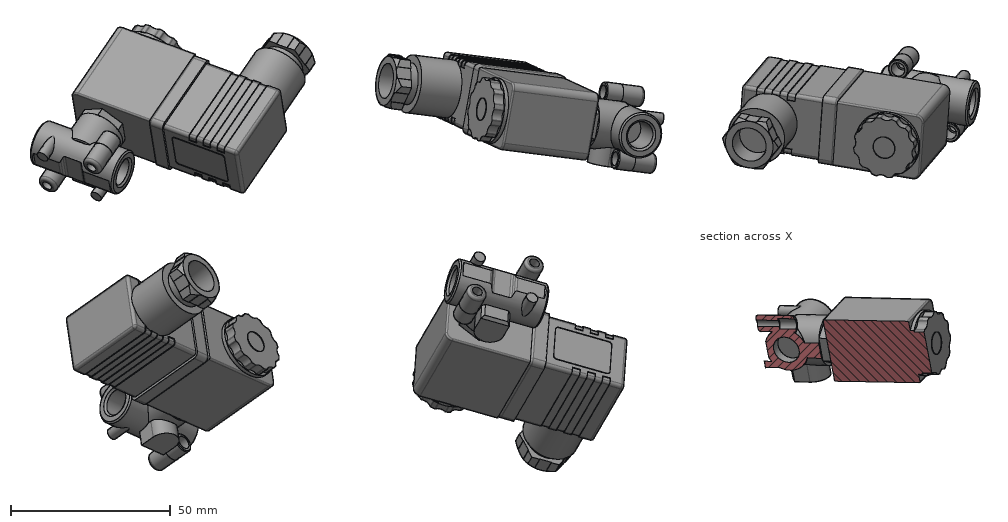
import cadquery as cq
import math


ROLL = 10.7
PITCH = -0.75
YAW = -1.09

PIPE_LENGTH = 29.95
PIPE_DIA = 14.5
PIPE_CHAMFER = 0.5
PORT_DIA = 8.6
PORT_DEPTH = 10.55
PORT_CHAMFER = 0.7
FLAT_LENGTH = 27.15
FLAT_END_SLOPE = 0.4
FLAT_Y = -6.7
SADDLE_Y = -5.3
SADDLE_FLOOR = 6.2
SADDLE_MOUTH = 8.15
SADDLE_FILLET = 0.8

STEM_DIA = 15.85
STEM_START_Y = 0.2
STEM_CHAMFER = 0.4
STEM_END_Y = 11.7

LUG_WIDTH = 9.5
LUG_FRONT_Y = -1.5
LUG_CENTRE_Y = 4.7
LUG_BOTTOM_Z = -12.45
LUG_BEVEL = 0.9

SLEEVE_X = 9.05
SLEEVE_Z = 9.05
SLEEVE_DIA = 6.5
SLEEVE_TIP_DIA = 6.4
SLEEVE_STEP_Y = -0.9
SLEEVE_START_Y = 4.75
SLEEVE_END_Y = -8.5
SLEEVE_FILLET = 1.0
SLEEVE_CHAMFER = 0.3
SLEEVE_BORE_DIA = 3.25
SLEEVE_COUNTERBORE_DIA = 4.4
PIN_Z = 5.3
PIN_DIA = 3.8
PIN_END_Y = -8.5

COIL_LEFT_X = -11.0
COIL_RIGHT_X = 17.35
COIL_BOTTOM_Y = 14.55
COIL_TOP_Y = 44.3
COIL_THICKNESS = 21.6
COIL_CORNER = 2.4
COIL_EDGE = 0.5

KNOB_DIA = 19.9
KNOB_FLANGE_DIA = 20.7
KNOB_FLANGE_HEIGHT = 1.3
KNOB_TOP_Y = 48.95
SCALLOPS = 12
SCALLOP_RADIUS = 2.7
SCALLOP_DEPTH = 0.75
RIB_FILLET = 0.3
DIMPLE_DIA = 7.1
DIMPLE_DEPTH = 0.2

COLLAR_WIDTH = 5.0
COLLAR_BOTTOM_Y = 13.8
COLLAR_TOP_Y = 43.9
COLLAR_THICKNESS = 22.6
COLLAR_CORNER = 1.8
COLLAR_EDGE = 0.7
BOX_STEP = 0.7
BOX_FACE_STEP = 1.0
BOX_RIGHT_X = 48.9
BOX_CORNER = 1.1
BOX_EDGE = 1.0

GROOVE_START_X = 31.4
GROOVE_WIDTH = 2.6
GROOVE_PITCH = 5.05
GROOVES = 3
GROOVE_DEPTH = 0.3
GROOVE_END_Z = 8.1
LABEL_LEFT_X = 24.9
LABEL_LENGTH = 18.85
LABEL_HEIGHT = 13.1
LABEL_CORNER = 1.1
LABEL_DEPTH = 0.2

GLAND_X = 39.3
GLAND_DIA = 18.3
GLAND_TOP_Y = 57.1
NECK_DIA = 13.2
NUT_BOTTOM_Y = 60.2
NUT_TOP_Y = 65.2
NUT_FLATS = 15.9
NUT_CHAMFER_DIA = 15.5
NUT_CHAMFER_HEIGHT = 1.5
NUT_GROOVE_WIDTH = 3.85
NUT_GROOVE_DEPTH = 0.15
CABLE_HOLE_DIA = 11.0


def rod(diameter, start_y, end_y, x=0.0, z=0.0):
    """Cylinder along Y between two heights."""
    start = cq.Vector(x, start_y, z)
    along = cq.Vector(0, end_y - start_y, 0)
    return cq.Workplane(cq.Solid.makeCylinder(diameter / 2, abs(end_y - start_y), start, along))


def block(x_range, y_range, thickness):
    """Box centred on Z = 0."""
    length = x_range[1] - x_range[0]
    height = y_range[1] - y_range[0]
    return cq.Workplane().box(length, height, thickness).translate(
        (sum(x_range) / 2, sum(y_range) / 2, 0)
    )


def hexagon(flats, start_y, end_y, x=0.0, first_corner=0.0):
    """Hexagonal prism along Y; first_corner is the angle of one corner from +X, in degrees."""
    corner_dia = flats / math.cos(math.pi / 6)
    prism = cq.Workplane("XZ").polygon(6, corner_dia).extrude(start_y - end_y)
    return prism.rotate((0, 0, 0), (0, 1, 0), first_corner).translate((x, start_y, 0))


def pipe():
    """Pipe with two flats on its underside and a deeper saddle between them."""
    radius = PIPE_DIA / 2
    body = cq.Workplane("YZ").circle(radius).extrude(PIPE_LENGTH / 2, both=True)
    body = body.faces("<X or >X").chamfer(PIPE_CHAMFER)
    flat_end = FLAT_LENGTH / 2
    relief = (
        cq.Workplane("XY")
        .moveTo(-flat_end - FLAT_END_SLOPE, -radius)
        .lineTo(-flat_end, FLAT_Y)
        .lineTo(-SADDLE_MOUTH / 2, FLAT_Y)
        .lineTo(-SADDLE_FLOOR / 2, SADDLE_Y)
        .lineTo(SADDLE_FLOOR / 2, SADDLE_Y)
        .lineTo(SADDLE_MOUTH / 2, FLAT_Y)
        .lineTo(flat_end, FLAT_Y)
        .lineTo(flat_end + FLAT_END_SLOPE, -radius)
        .close()
        .extrude(radius, both=True)
    )
    saddle_corners = cq.selectors.BoxSelector(
        (-SADDLE_MOUTH, FLAT_Y - SADDLE_FILLET, -0.75), (SADDLE_MOUTH, SADDLE_Y + SADDLE_FILLET, 0.75)
    )
    relief = relief.edges("|Z").edges(saddle_corners).fillet(SADDLE_FILLET)
    return body.cut(relief)


def port(side):
    """Chamfered blind port at one end of the pipe; side is -1 or 1."""
    radius = PORT_DIA / 2
    mouth = PIPE_LENGTH / 2
    profile = (
        cq.Workplane("XY")
        .moveTo(mouth, 0)
        .lineTo(mouth, radius + PORT_CHAMFER)
        .lineTo(mouth - PORT_CHAMFER, radius)
        .lineTo(mouth - PORT_DEPTH, radius)
        .lineTo(mouth - PORT_DEPTH, 0)
        .close()
    )
    cutter = profile.revolve(360, (0, 0, 0), (1, 0, 0))
    return cutter if side > 0 else cutter.mirror("YZ")


def lug():
    """Round-backed lug with a bevelled front face, hanging from the stem."""
    half = LUG_WIDTH / 2
    shape = (
        cq.Workplane("XY")
        .moveTo(-half, LUG_FRONT_Y)
        .lineTo(half, LUG_FRONT_Y)
        .lineTo(half, LUG_CENTRE_Y)
        .threePointArc((0, LUG_CENTRE_Y + half), (-half, LUG_CENTRE_Y))
        .close()
        .extrude(LUG_BOTTOM_Z)
    )
    return shape.faces("<Y").edges("<X or >X or <Z").chamfer(LUG_BEVEL)


def sleeve(side):
    """Mounting sleeve with a slightly slimmer, rounded tip and a chamfered rear end."""
    tip = rod(SLEEVE_TIP_DIA, SLEEVE_STEP_Y, SLEEVE_END_Y)
    tip = tip.faces("<Y").edges().fillet(SLEEVE_FILLET)
    rear = rod(SLEEVE_DIA, SLEEVE_STEP_Y, SLEEVE_START_Y)
    rear = rear.faces(">Y").edges().chamfer(SLEEVE_CHAMFER)
    return tip.union(rear).translate((side * SLEEVE_X, 0, side * SLEEVE_Z))


def sleeve_bore(side):
    """Through bore of a sleeve, counterbored from the rear."""
    cutter = rod(SLEEVE_BORE_DIA, SLEEVE_END_Y, SLEEVE_STEP_Y)
    cutter = cutter.union(rod(SLEEVE_COUNTERBORE_DIA, SLEEVE_STEP_Y, SLEEVE_START_Y))
    return cutter.translate((side * SLEEVE_X, 0, side * SLEEVE_Z))


def valve_body():
    """Pipe, stem, hexagon, lug, sleeves and pins."""
    stem = rod(STEM_DIA, STEM_START_Y, STEM_END_Y).faces("<Y").edges().chamfer(STEM_CHAMFER)
    body = pipe().union(stem)
    hexagon_flats = STEM_DIA * math.cos(math.pi / 6)
    body = body.union(hexagon(hexagon_flats, STEM_END_Y, COIL_BOTTOM_Y, first_corner=90))
    body = body.union(lug())
    for side in (-1, 1):
        body = body.union(sleeve(side))
        body = body.union(rod(PIN_DIA, 0, PIN_END_Y, -side * SLEEVE_X, side * PIN_Z))
    for side in (-1, 1):
        body = body.cut(port(side)).cut(sleeve_bore(side))
    return body


def knob():
    """Scalloped knob on a round flange, with a shallow dimple."""
    flange_top = COIL_TOP_Y + KNOB_FLANGE_HEIGHT
    body = rod(KNOB_DIA, flange_top, KNOB_TOP_Y)
    scallop_circle = KNOB_DIA / 2 + SCALLOP_RADIUS - SCALLOP_DEPTH
    for index in range(SCALLOPS):
        angle = 2 * math.pi * index / SCALLOPS + math.pi / 2
        x = scallop_circle * math.cos(angle)
        z = scallop_circle * math.sin(angle)
        body = body.cut(rod(2 * SCALLOP_RADIUS, flange_top, KNOB_TOP_Y, x, z))
    body = body.edges("|Y").fillet(RIB_FILLET)
    body = body.cut(rod(DIMPLE_DIA, KNOB_TOP_Y - DIMPLE_DEPTH, KNOB_TOP_Y))
    return body.union(rod(KNOB_FLANGE_DIA, COIL_TOP_Y, flange_top))


def coil():
    """Coil block with its knob."""
    body = block((COIL_LEFT_X, COIL_RIGHT_X), (COIL_BOTTOM_Y, COIL_TOP_Y), COIL_THICKNESS)
    body = body.edges("|Y and <X").fillet(COIL_CORNER)
    body = body.edges("(<Y or >Y) and (not >X)").fillet(COIL_EDGE)
    return body.union(knob())


def box_grooves(box_bottom, box_top, box_thickness):
    """Grooves wrapping around both broad faces of the box and a little way onto its edges."""
    height = box_top - box_bottom
    outer = cq.Workplane("YZ").rect(2 * height, 2 * box_thickness).extrude(GROOVE_WIDTH)
    inner = (
        cq.Workplane("YZ")
        .rect(height - 2 * GROOVE_DEPTH, box_thickness - 2 * GROOVE_DEPTH)
        .extrude(GROOVE_WIDTH)
        .edges("|X")
        .fillet(BOX_CORNER - GROOVE_DEPTH)
    )
    plain_band = cq.Workplane("YZ").rect(2 * height, 2 * GROOVE_END_Z).extrude(GROOVE_WIDTH)
    ring = outer.cut(inner).cut(plain_band)
    centre_y = (box_bottom + box_top) / 2
    places = [(GROOVE_START_X + index * GROOVE_PITCH, centre_y, 0) for index in range(GROOVES)]
    return [ring.translate(place) for place in places]


def label_recess(box_bottom):
    """Shallow rounded rectangle in the lower end of the box."""
    recess = cq.Workplane().box(LABEL_LENGTH, 2 * LABEL_DEPTH, LABEL_HEIGHT)
    recess = recess.edges("|Y").fillet(LABEL_CORNER)
    return recess.translate((LABEL_LEFT_X + LABEL_LENGTH / 2, box_bottom, 0))


def gland_nut():
    """Hexagonal nut with a chamfered top and a shallow groove down each flat."""
    body = hexagon(NUT_FLATS, NUT_BOTTOM_Y, NUT_TOP_Y)
    groove = block(
        (-NUT_GROOVE_WIDTH / 2, NUT_GROOVE_WIDTH / 2), (NUT_BOTTOM_Y, NUT_TOP_Y), 2 * NUT_GROOVE_DEPTH
    ).translate((0, 0, NUT_FLATS / 2))
    for index in range(6):
        body = body.cut(groove.rotate((0, 0, 0), (0, 1, 0), 60 * index))
    corner_radius = NUT_FLATS / 2 / math.cos(math.pi / 6)
    envelope = (
        cq.Workplane("XY")
        .moveTo(0, NUT_BOTTOM_Y)
        .lineTo(corner_radius, NUT_BOTTOM_Y)
        .lineTo(corner_radius, NUT_TOP_Y - NUT_CHAMFER_HEIGHT)
        .lineTo(NUT_CHAMFER_DIA / 2, NUT_TOP_Y)
        .lineTo(0, NUT_TOP_Y)
        .close()
        .revolve(360, (0, 0, 0), (0, 1, 0))
    )
    return body.intersect(envelope).translate((GLAND_X, 0, 0))


def connector():
    """Collar, grooved box and cable gland."""
    collar_right = COIL_RIGHT_X + COLLAR_WIDTH
    collar = block((COIL_RIGHT_X, collar_right), (COLLAR_BOTTOM_Y, COLLAR_TOP_Y), COLLAR_THICKNESS)
    collar = collar.edges("|X").fillet(COLLAR_CORNER)
    collar = collar.faces("<X").edges().fillet(COLLAR_EDGE)

    box_bottom = COLLAR_BOTTOM_Y + BOX_STEP
    box_top = COLLAR_TOP_Y - BOX_STEP
    box_thickness = COLLAR_THICKNESS - 2 * BOX_FACE_STEP
    box = block((collar_right, BOX_RIGHT_X), (box_bottom, box_top), box_thickness)
    box = box.edges("|X").fillet(BOX_CORNER)
    box = box.faces(">X").edges().fillet(BOX_EDGE)
    for groove in box_grooves(box_bottom, box_top, box_thickness):
        box = box.cut(groove)
    box = box.cut(label_recess(box_bottom))

    body = collar.union(box)
    body = body.union(rod(GLAND_DIA, box_top - BOX_CORNER, GLAND_TOP_Y, GLAND_X))
    body = body.union(rod(NECK_DIA, GLAND_TOP_Y, NUT_BOTTOM_Y, GLAND_X))
    body = body.union(gland_nut())
    return body.cut(rod(CABLE_HOLE_DIA, GLAND_TOP_Y, NUT_TOP_Y, GLAND_X))


def tilted(body):
    """Turn a body from the local frame to its final attitude."""
    turned = body.rotate((0, 0, 0), (1, 0, 0), ROLL)
    turned = turned.rotate((0, 0, 0), (0, 1, 0), PITCH)
    return turned.rotate((0, 0, 0), (0, 0, 1), YAW)


valve = tilted(valve_body())
coil_block = tilted(coil())
plug = tilted(connector())

result = cq.Compound.makeCompound([valve.val(), coil_block.val(), plug.val()])